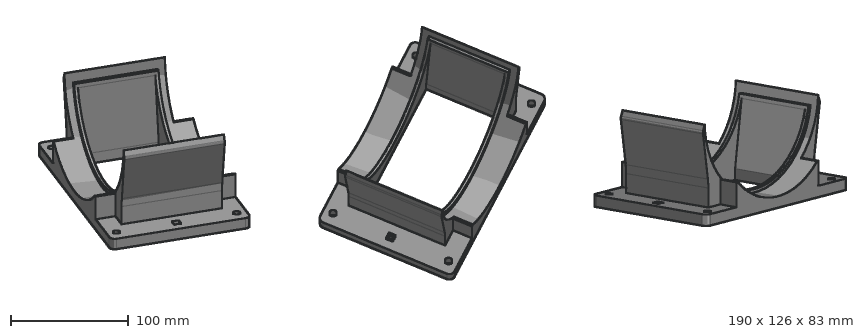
import cadquery as cq

length = 190.0
width = 126.0
base_height = 10.0
corner_radius = 5.0

cradle_radius = 76.0
lip_height = 3.0
lip_radius = cradle_radius - lip_height
axis_height = base_height + cradle_radius
lip_top = 73.3
lip_span = 76.0

wall_span = 90.5
wall_foot_x = 71.0
wall_bend_height = 31.0
wall_widest_x = 78.5
wall_widest_height = 76.8
wall_top = 83.0
wall_tip_x = (cradle_radius**2 - (axis_height - wall_top) ** 2) ** 0.5
bend_radius = 49.4
rim_radius = 5.1

support_half_length = 55.1
support_top = 31.7

opening_half_length = 62.3
opening_top_half_length = 71.6
opening_width = 69.5

hole_diameter = 6.0
hole_x = 83.2
hole_y = 54.2
square_side = 6.3
square_depth = 5.0


def mirrored_outline(right_side):
    """Closed XZ outline from the points of its right half, listed bottom to top."""
    left_side = [(-x, z) for x, z in reversed(right_side)]
    return cq.Workplane("XZ").polyline(right_side + left_side).close()


def centred_prism(right_side, span):
    return mirrored_outline(right_side).extrude(span / 2, both=True)


def edges_along_y(x, z):
    """Selector for the pair of Y-direction edges at +x and -x, height z."""
    tolerance = 0.2
    boxes = [
        cq.selectors.BoxSelector(
            (side * x - tolerance, -width, z - tolerance),
            (side * x + tolerance, width, z + tolerance),
        )
        for side in (-1, 1)
    ]
    return boxes[0] + boxes[1]


def bore(radius, span):
    return cq.Workplane("XZ", origin=(0, 0, axis_height)).circle(radius).extrude(span / 2, both=True)


def base_plate():
    plate = cq.Workplane("XY").box(length, width, base_height, centered=(True, True, False))
    return plate.edges("|Z").fillet(corner_radius)


def side_walls():
    profile = [
        (wall_foot_x, 0),
        (wall_foot_x, wall_bend_height),
        (wall_widest_x, wall_widest_height),
        (wall_tip_x, wall_top),
    ]
    block = centred_prism(profile, wall_span)
    block = block.edges(edges_along_y(wall_foot_x, wall_bend_height)).fillet(bend_radius)
    return block.edges(edges_along_y(wall_widest_x, wall_widest_height)).fillet(rim_radius)


def end_supports():
    return centred_prism([(support_half_length, 0), (support_half_length, support_top)], width)


def cradle_cut():
    """Full-length bore, less the band of material left standing as the inner lip."""
    lip_band = cq.Workplane("XY").box(length, lip_span, lip_top, centered=(True, True, False))
    return bore(cradle_radius, width).cut(lip_band.cut(bore(lip_radius, lip_span)))


def opening():
    profile = [
        (opening_half_length, 0),
        (opening_half_length, base_height),
        (opening_top_half_length, lip_top),
    ]
    return centred_prism(profile, opening_width)


corner_holes = [(x, y) for x in (-hole_x, hole_x) for y in (-hole_y, hole_y)]
middle_holes = [(-hole_x, 0), (hole_x, 0)]
round_holes = (
    cq.Workplane("XY").pushPoints(corner_holes + middle_holes).circle(hole_diameter / 2).extrude(base_height)
)
square_recesses = (
    cq.Workplane("XY", origin=(0, 0, base_height))
    .pushPoints(middle_holes)
    .rect(square_side, square_side)
    .extrude(-square_depth)
)

result = base_plate().union(side_walls()).union(end_supports())
result = result.cut(cradle_cut()).cut(opening())
result = result.cut(round_holes).cut(square_recesses)